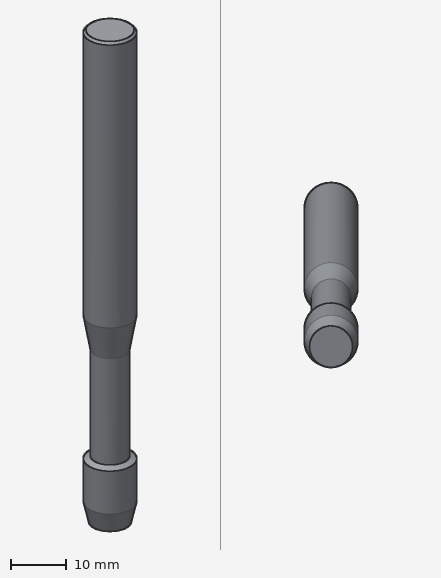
import cadquery as cq

total_length = 100.0
body_diameter = 9.6
neck_diameter = 7.1
tip_diameter = 7.7
shank_chamfer = 0.5

tip_taper_top = 4.1
head_shoulder_base = 12.8
head_top = 13.4
neck_top = 35.1
shank_base = 42.0

body_radius = body_diameter / 2
neck_radius = neck_diameter / 2
tip_radius = tip_diameter / 2


def revolve_profile(points):
    """Turn a closed (radius, height) outline about the Z axis."""
    return cq.Workplane("XZ").polyline(points).close().revolve(360, (0, 0), (0, 1))


def make_head():
    """Head with a tapered tip and a shallow conical shoulder up to the neck."""
    return revolve_profile([
        (0, 0),
        (tip_radius, 0),
        (body_radius, tip_taper_top),
        (body_radius, head_shoulder_base),
        (neck_radius, head_top),
        (0, head_top),
    ])


def make_shank():
    """Slender neck that widens through a cone into the chamfered shank."""
    return revolve_profile([
        (0, head_top),
        (neck_radius, head_top),
        (neck_radius, neck_top),
        (body_radius, shank_base),
        (body_radius, total_length - shank_chamfer),
        (body_radius - shank_chamfer, total_length),
        (0, total_length),
    ])


head = make_head()
shank = make_shank()

result = cq.Compound.makeCompound([head.val(), shank.val()])